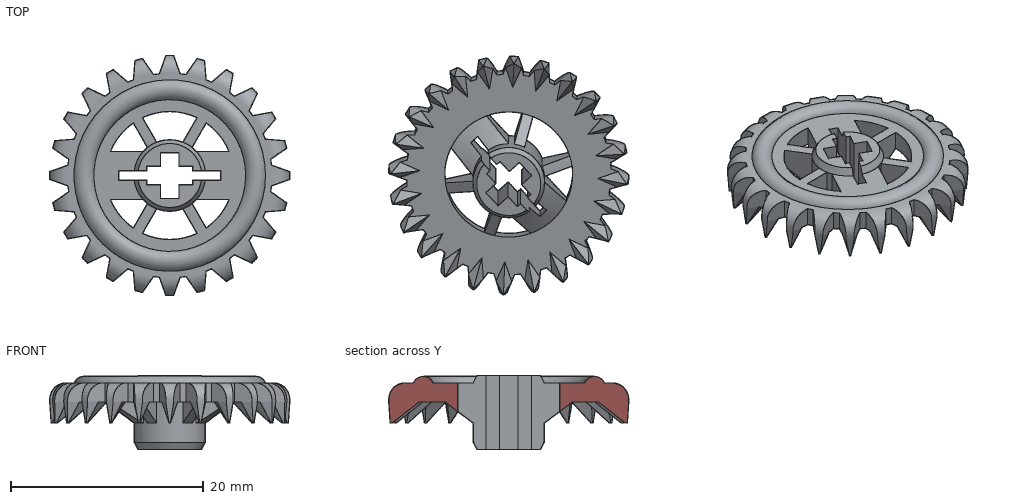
import cadquery as cq
import math

TOTAL_HEIGHT = 7.72
RING_TOP_Z = 7.64
RIM_TOP_Z = 6.96
RIM_BOTTOM_Z = 4.94
TOOTH_TIP_Z = 2.75

HUB_RADIUS = 3.735
HUB_CHAMFER_HEIGHT = TOTAL_HEIGHT - RIM_TOP_Z
HUB_CHAMFER_WIDTH = 0.4

RIM_RADIUS = 10.66
RING_OUTER_RADIUS = 9.97
RING_INNER_RADIUS = 7.9

WINDOW_RADIUS = 6.65
BEAM_WIDTH = 5.04
SPOKE_WIDTH = 1.12
SPOKE_ANGLES = (60, 120)

AXLE_LENGTH = 4.74
AXLE_WIDTH = 1.89
SLOT_LENGTH = 10.62
SLOT_WIDTH = 0.96

TOOTH_COUNT = 24
TOOTH_OUTER_RADIUS = 12.51
TOOTH_ROOT_RADIUS = 10.74
TOOTH_ROOT_HALF_WIDTH = 1.04
TOOTH_OUTER_HALF_WIDTH = 0.41
TOOTH_ROUNDING = TOOTH_OUTER_RADIUS - TOOTH_ROOT_RADIUS
TOOTH_EMBED = 0.3
POINT_WIDEST_RADIUS = 11.35
POINT_INNER_RADIUS = 9.3
TIP_OUTER_RADIUS = 12.36
TIP_INNER_RADIUS = 12.12
TIP_HALF_WIDTH = 0.07


def cylinder(radius, bottom, top):
    return cq.Workplane("XY").workplane(offset=bottom).circle(radius).extrude(top - bottom)


def bar(length, width, bottom, top):
    """Rectangular bar centred on the axis, long side along X."""
    return cq.Workplane("XY").workplane(offset=bottom).rect(length, width).extrude(top - bottom)


def revolve_profile(profile):
    """Turn a closed (radius, height) profile around the Z axis."""
    return profile.close().revolve(360, (0, 0, 0), (0, 1, 0))


def make_hub():
    end_radius = HUB_RADIUS - HUB_CHAMFER_WIDTH
    return revolve_profile(
        cq.Workplane("XZ")
        .moveTo(0, 0)
        .lineTo(end_radius, 0)
        .lineTo(HUB_RADIUS, HUB_CHAMFER_HEIGHT)
        .lineTo(HUB_RADIUS, TOTAL_HEIGHT - HUB_CHAMFER_HEIGHT)
        .lineTo(end_radius, TOTAL_HEIGHT)
        .lineTo(0, TOTAL_HEIGHT)
    )


def make_disk():
    """Wheel disk, the conical body below it and the rounded ring above it."""
    ring_middle_radius = (RING_OUTER_RADIUS + RING_INNER_RADIUS) / 2
    return revolve_profile(
        cq.Workplane("XZ")
        .moveTo(0, TOOTH_TIP_Z)
        .lineTo(HUB_RADIUS, TOOTH_TIP_Z)
        .lineTo(WINDOW_RADIUS, RIM_BOTTOM_Z)
        .lineTo(RIM_RADIUS, RIM_BOTTOM_Z)
        .lineTo(RIM_RADIUS, RIM_TOP_Z)
        .lineTo(RING_OUTER_RADIUS, RIM_TOP_Z)
        .threePointArc((ring_middle_radius, RING_TOP_Z), (RING_INNER_RADIUS, RIM_TOP_Z))
        .lineTo(0, RIM_TOP_Z)
    )


def make_windows():
    """Openings left between the wide beam along X and the slanted spokes."""
    windows = cylinder(WINDOW_RADIUS, 0, TOTAL_HEIGHT)
    windows = windows.cut(bar(2 * RIM_RADIUS, BEAM_WIDTH, 0, TOTAL_HEIGHT))
    for angle in SPOKE_ANGLES:
        spoke = bar(2 * RIM_RADIUS, SPOKE_WIDTH, 0, TOTAL_HEIGHT)
        windows = windows.cut(spoke.rotate((0, 0, 0), (0, 0, 1), angle))
    return windows


def make_axle_hole():
    hole = bar(AXLE_LENGTH, AXLE_WIDTH, 0, TOTAL_HEIGHT)
    hole = hole.union(bar(AXLE_WIDTH, AXLE_LENGTH, 0, TOTAL_HEIGHT))
    return hole.union(bar(SLOT_LENGTH, SLOT_WIDTH, 0, TOTAL_HEIGHT))


def flank_half_width(radius):
    """Half width of the straight-sided tooth at a given radius."""
    taper = (TOOTH_ROOT_HALF_WIDTH - TOOTH_OUTER_HALF_WIDTH) / TOOTH_ROUNDING
    return TOOTH_ROOT_HALF_WIDTH - taper * (radius - TOOTH_ROOT_RADIUS)


def make_tooth_body():
    """Tapered upper part of a tooth with a quarter-round outer top edge."""
    inner_radius = RIM_RADIUS - TOOTH_EMBED
    inner_half_width = flank_half_width(inner_radius)
    height = RIM_TOP_Z - RIM_BOTTOM_Z
    wedge = (
        cq.Workplane("XY").workplane(offset=RIM_BOTTOM_Z)
        .moveTo(inner_radius, -inner_half_width)
        .lineTo(TOOTH_OUTER_RADIUS, -TOOTH_OUTER_HALF_WIDTH)
        .lineTo(TOOTH_OUTER_RADIUS, TOOTH_OUTER_HALF_WIDTH)
        .lineTo(inner_radius, inner_half_width)
        .close()
        .extrude(height)
    )
    diagonal = TOOTH_ROUNDING * math.sqrt(0.5)
    arc_centre_z = RIM_TOP_Z - TOOTH_ROUNDING
    arc_middle = (TOOTH_ROOT_RADIUS + diagonal, arc_centre_z + diagonal)
    side_outline = (
        cq.Workplane("XZ")
        .moveTo(inner_radius, RIM_BOTTOM_Z)
        .lineTo(TOOTH_OUTER_RADIUS, RIM_BOTTOM_Z)
        .lineTo(TOOTH_OUTER_RADIUS, arc_centre_z)
        .threePointArc(arc_middle, (TOOTH_ROOT_RADIUS, RIM_TOP_Z))
        .lineTo(inner_radius, RIM_TOP_Z)
        .close()
        .extrude(inner_half_width, both=True)
    )
    return wedge.intersect(side_outline)


def point_section(outer_radius, outer_half, widest_radius, widest_half, inner_radius, z):
    """Five-sided level section of the tooth point, with one corner facing the axis."""
    corners = [
        (outer_radius, -outer_half, z),
        (outer_radius, outer_half, z),
        (widest_radius, widest_half, z),
        (inner_radius, 0, z),
        (widest_radius, -widest_half, z),
    ]
    return cq.Wire.makePolygon([cq.Vector(*corner) for corner in corners], close=True)


def make_tooth_point():
    """Lower part of a tooth, narrowing downwards to a small tip."""
    base = point_section(
        TOOTH_OUTER_RADIUS, TOOTH_OUTER_HALF_WIDTH,
        POINT_WIDEST_RADIUS, flank_half_width(POINT_WIDEST_RADIUS),
        POINT_INNER_RADIUS, RIM_BOTTOM_Z,
    )
    tip_middle_radius = (TIP_OUTER_RADIUS + TIP_INNER_RADIUS) / 2
    tip = point_section(
        TIP_OUTER_RADIUS, TIP_HALF_WIDTH,
        tip_middle_radius, TIP_HALF_WIDTH,
        TIP_INNER_RADIUS, TOOTH_TIP_Z,
    )
    return cq.Workplane(cq.Solid.makeLoft([base, tip], True))


def add_teeth(wheel):
    tooth = make_tooth_body().union(make_tooth_point())
    for index in range(TOOTH_COUNT):
        angle = index * 360 / TOOTH_COUNT
        wheel = wheel.union(tooth.rotate((0, 0, 0), (0, 0, 1), angle))
    return wheel


wheel = add_teeth(make_disk().cut(make_windows()))
result = wheel.union(make_hub()).cut(make_axle_hole())